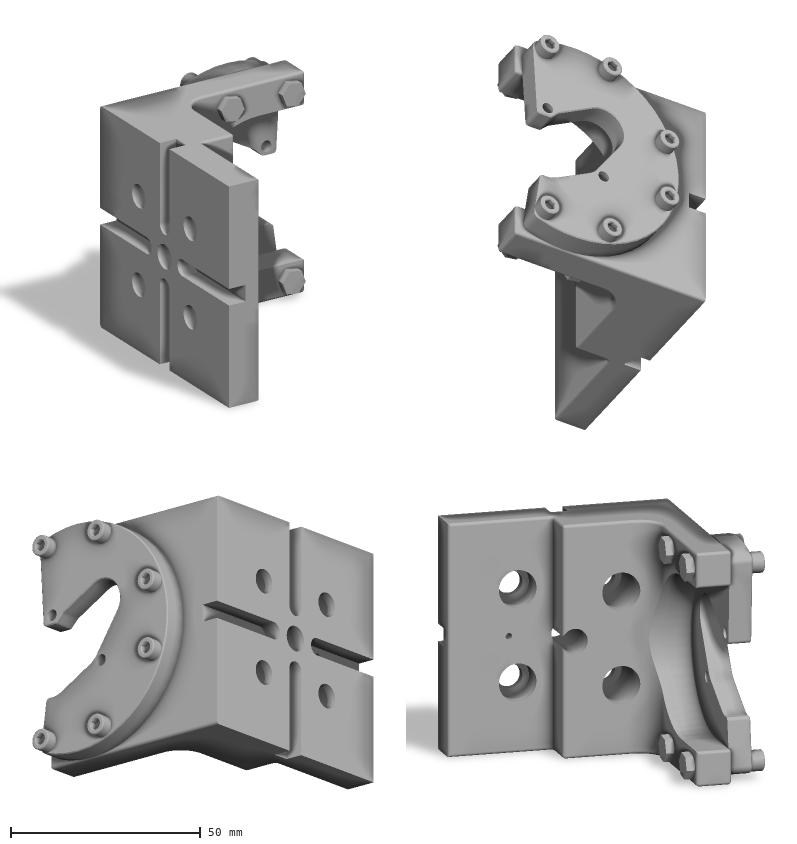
import cadquery as cq
import math

INCH = 25.4
TOLERANCE = 0.01

BASE = 2.5 * INCH
HALF = BASE / 2
DEPTH = 2.275 * INCH
WALL_THICKNESS = 0.375 * INCH
BLOCK_HEIGHT = 0.775 * INCH
LEDGE_HEIGHT = 0.375 * INCH
STEP_X = 0.125 * INCH
WALL_FILLET = 0.25 * INCH
STEP_FILLET = INCH / 32
EDGE_FILLET = INCH / 32
WALL_FACE_X = -HALF
WALL_BACK_X = WALL_FACE_X + WALL_THICKNESS
WALL_OPENING_RADIUS = HALF - WALL_THICKNESS

GROOVE_WIDTH = 0.1875 * INCH
GROOVE_DEPTH = 0.2 * INCH
GROOVE_START = 0.25 * INCH
MOUNT_PITCH = INCH
MOUNT_HOLE_DIAMETER = 6.7
MOUNT_BORE_DIAMETER = 0.406 * INCH
MOUNT_LIP = 0.1 * INCH
CENTRE_HOLE_DIAMETER = 7.0
PIN_HOLE_DIAMETER = 1.8
PIN_HOLE_X = 15.1

PLATE_Y = 43.37
PLATE_RADIUS = 31.7
PLATE_THICKNESS = 0.25 * INCH
PLATE_CHAMFER = 0.3
PLATE_OUTER_X = WALL_FACE_X - PLATE_THICKNESS
LIP_CORNER_RADIUS = 1.0
HORN_CORNER_RADIUS = 2.0

POCKET_Y = 34.7
POCKET_Z = 8.1
POCKET_RADIUS = 0.25 * INCH
CHANNEL_ANGLE = math.radians(29)
FLANK_ANGLE = math.radians(56.5)
FLANK_FILLET = 0.25 * INCH
UPPER_BEND_FILLET = 3.0
UPPER_LIP_Z = 5.55
UPPER_LIP_OUTER_Y = 54.8
UPPER_LIP_INNER_Y = 50.5
UPPER_LIP_ANGLE = math.radians(45)
LOWER_LIP_Z = -14.6
LOWER_LIP_OUTER_Y = 53.8
LOWER_LIP_INNER_Y = 50.2
UPPER_EDGE_ANGLE = math.radians(3.2)
LOWER_EDGE_ANGLE = math.radians(8)
GUIDE_HOLE_DIAMETER = 0.125 * INCH
GUIDE_HOLES = [(POCKET_Y + 17, POCKET_Z), (POCKET_Y, -POCKET_Z)]

BOLT_CIRCLE_RADIUS = 1.125 * INCH
BOLT_OFFSET = 0.375 * INCH
BOLT_REACH = math.sqrt(BOLT_CIRCLE_RADIUS**2 - BOLT_OFFSET**2)
HEAD_DIAMETER = 5.7
HEAD_HEIGHT = 0.138 * INCH
HEAD_CHAMFER = 0.25
SOCKET_FLATS = INCH * 7 / 64
SOCKET_DEPTH = 1.8
SOCKET_MOUTH_DIAMETER = 3.4
NUT_FLATS = 0.25 * INCH
NUT_HEIGHT = 2.4
NUT_TURN = -9
NUT_BEVEL = math.radians(30)

SIDES = (1, -1)
LEG_SCREWS = [(PLATE_Y + s * BOLT_OFFSET, t * BOLT_REACH) for s in SIDES for t in SIDES]
BLOCK_SCREWS = [(PLATE_Y - BOLT_REACH, t * BOLT_OFFSET) for t in SIDES]


def yz_plane(x):
    """Workplane at the given X whose local axes are Y and Z."""
    return cq.Workplane("YZ", origin=(x, 0, 0))


def nearest(x, y, z):
    return cq.selectors.NearestToPointSelector((x, y, z))


def hexagon(flats):
    """Corner circle diameter of a hexagon with the given width across flats."""
    return flats / math.cos(math.pi / 6)


def make_bracket():
    """Stepped L profile with a U-shaped opening that splits the wall into two legs."""
    body = (
        cq.Workplane("XY", origin=(0, 0, -HALF))
        .moveTo(-HALF, 0)
        .lineTo(HALF, 0)
        .lineTo(HALF, LEDGE_HEIGHT)
        .lineTo(STEP_X, LEDGE_HEIGHT)
        .lineTo(STEP_X, BLOCK_HEIGHT)
        .lineTo(WALL_BACK_X, BLOCK_HEIGHT)
        .lineTo(WALL_BACK_X, DEPTH)
        .lineTo(-HALF, DEPTH)
        .close()
        .extrude(BASE)
    )
    body = body.edges(nearest(WALL_BACK_X, BLOCK_HEIGHT, 0)).fillet(WALL_FILLET)
    body = body.edges(nearest(STEP_X, LEDGE_HEIGHT, 0)).fillet(STEP_FILLET)
    opening = (
        yz_plane(WALL_FACE_X)
        .moveTo(DEPTH, WALL_OPENING_RADIUS)
        .lineTo(PLATE_Y, WALL_OPENING_RADIUS)
        .threePointArc((PLATE_Y - WALL_OPENING_RADIUS, 0), (PLATE_Y, -WALL_OPENING_RADIUS))
        .lineTo(DEPTH, -WALL_OPENING_RADIUS)
        .close()
        .extrude(BASE)
    )
    return body.cut(opening)


def round_bracket_edges(body):
    """Round the outer edges, leaving the mounting face and the upright edges of the +X end sharp."""
    rounded = []
    for edge in body.edges().vals():
        box = edge.BoundingBox()
        middle = edge.Center()
        on_mounting_face = box.ymax < TOLERANCE
        on_side = abs(abs(middle.z) - HALF) < TOLERANCE
        on_wall_face = box.xmax < WALL_FACE_X + TOLERANCE
        on_leg_tip = box.ymin > DEPTH - TOLERANCE
        on_far_end = box.xmin > HALF - TOLERANCE
        on_step_corner = math.hypot(middle.x - STEP_X, middle.y - BLOCK_HEIGHT) < TOLERANCE
        if on_mounting_face or (on_far_end and on_side):
            continue
        if on_side or on_wall_face or on_leg_tip or on_far_end or on_step_corner:
            rounded.append(edge)
    return body.newObject(rounded).fillet(EDGE_FILLET)


def cut_grooves(body):
    """Four grooves with round inner ends, running out through the sides of the mounting face."""
    length = HALF - GROOVE_START
    groove = (
        cq.Workplane("XZ")
        .center(HALF, 0)
        .slot2D(2 * length, GROOVE_WIDTH)
        .extrude(-GROOVE_DEPTH)
    )
    for angle in (0, 90, 180, 270):
        body = body.cut(groove.rotate((0, 0, 0), (0, 1, 0), angle))
    return body


def cut_base_holes(body):
    """Counterbored mounting holes, the centre hole and the pin hole, all running along Y."""
    face = cq.Workplane("XZ")
    lip_plane = cq.Workplane("XZ", origin=(0, MOUNT_LIP, 0))
    centre_hole = face.circle(CENTRE_HOLE_DIAMETER / 2).extrude(-DEPTH)
    pin_hole = face.center(PIN_HOLE_X, 0).circle(PIN_HOLE_DIAMETER / 2).extrude(-DEPTH)
    body = body.cut(centre_hole).cut(pin_hole)
    for plane, diameter in ((face, MOUNT_HOLE_DIAMETER), (lip_plane, MOUNT_BORE_DIAMETER)):
        holes = (
            plane.rect(MOUNT_PITCH, MOUNT_PITCH, forConstruction=True)
            .vertices()
            .circle(diameter / 2)
            .extrude(-DEPTH)
        )
        body = body.cut(holes)
    return body


def crossing(p, p_angle, q, q_angle):
    """Point where the line through p at p_angle meets the line through q at q_angle."""
    across = (q[0] - p[0]) * math.sin(q_angle) - (q[1] - p[1]) * math.cos(q_angle)
    reach = across / math.sin(q_angle - p_angle)
    return (p[0] + reach * math.cos(p_angle), p[1] + reach * math.sin(p_angle))


def pocket_point(angle):
    return (POCKET_Y + POCKET_RADIUS * math.cos(angle), POCKET_Z + POCKET_RADIUS * math.sin(angle))


def horn_tip(lip_y, lip_z, edge_angle, side):
    """Point where the edge rising from a lip meets the rim of the plate."""
    direction = (math.sin(edge_angle), side * math.cos(edge_angle))
    offset = (lip_y - PLATE_Y, lip_z)
    along = offset[0] * direction[0] + offset[1] * direction[1]
    distance_squared = offset[0] ** 2 + offset[1] ** 2
    reach = math.sqrt(along**2 - distance_squared + PLATE_RADIUS**2) - along
    return (lip_y + reach * direction[0], lip_z + reach * direction[1])


def make_plate():
    """Crescent-shaped plate: a disc outline broken on its +Y side by the channel and pocket."""
    roof_normal = math.pi / 2 - CHANNEL_ANGLE
    flank_normal = -math.pi / 2 - FLANK_ANGLE
    flank_turn = flank_normal + 2 * math.pi
    roof_tangent = pocket_point(roof_normal)
    pocket_end = pocket_point((roof_normal + flank_turn) / 2)
    flank_tangent = pocket_point(flank_normal)

    upper_outer = (UPPER_LIP_OUTER_Y, UPPER_LIP_Z)
    upper_inner = (UPPER_LIP_INNER_Y, UPPER_LIP_Z)
    upper_bend = crossing(upper_inner, -UPPER_LIP_ANGLE, roof_tangent, -CHANNEL_ANGLE)
    lower_outer = (LOWER_LIP_OUTER_Y, LOWER_LIP_Z)
    lower_inner = (LOWER_LIP_INNER_Y, LOWER_LIP_Z)
    lower_bend = crossing(lower_inner, -CHANNEL_ANGLE, flank_tangent, -FLANK_ANGLE)
    upper_horn = horn_tip(*upper_outer, UPPER_EDGE_ANGLE, 1)
    lower_horn = horn_tip(*lower_outer, LOWER_EDGE_ANGLE, -1)

    plate = (
        yz_plane(PLATE_OUTER_X)
        .moveTo(*flank_tangent)
        .lineTo(*lower_bend)
        .lineTo(*lower_inner)
        .lineTo(*lower_outer)
        .lineTo(*lower_horn)
        .threePointArc((PLATE_Y - PLATE_RADIUS, 0), upper_horn)
        .lineTo(*upper_outer)
        .lineTo(*upper_inner)
        .lineTo(*upper_bend)
        .lineTo(*roof_tangent)
        .threePointArc(pocket_end, flank_tangent)
        .close()
        .extrude(PLATE_THICKNESS)
    )
    corner_radii = [
        (upper_horn, HORN_CORNER_RADIUS),
        (lower_horn, HORN_CORNER_RADIUS),
        (upper_outer, LIP_CORNER_RADIUS),
        (upper_inner, LIP_CORNER_RADIUS),
        (lower_outer, LIP_CORNER_RADIUS),
        (lower_inner, FLANK_FILLET),
        (upper_bend, UPPER_BEND_FILLET),
        (lower_bend, FLANK_FILLET),
    ]
    for (y, z), radius in corner_radii:
        middle_x = PLATE_OUTER_X + PLATE_THICKNESS / 2
        plate = plate.edges("|X").edges(nearest(middle_x, y, z)).fillet(radius)
    plate = plate.faces("<X").edges().chamfer(PLATE_CHAMFER)

    guide_holes = (
        yz_plane(PLATE_OUTER_X)
        .pushPoints(GUIDE_HOLES)
        .circle(GUIDE_HOLE_DIAMETER / 2)
        .extrude(PLATE_THICKNESS)
    )
    return plate.cut(guide_holes)


def make_screw_head():
    """Cap head standing on the plate, with a hexagon socket and a conical socket mouth."""
    top_x = PLATE_OUTER_X - HEAD_HEIGHT
    mouth_radius = SOCKET_MOUTH_DIAMETER / 2
    head = yz_plane(top_x).circle(HEAD_DIAMETER / 2).extrude(HEAD_HEIGHT)
    head = head.edges().chamfer(HEAD_CHAMFER)
    socket = (
        yz_plane(top_x)
        .transformed(rotate=(0, 0, 30))
        .polygon(6, hexagon(SOCKET_FLATS))
        .extrude(SOCKET_DEPTH)
    )
    mouth = cq.Solid.makeCone(
        mouth_radius, 0, mouth_radius, cq.Vector(top_x, 0, 0), cq.Vector(1, 0, 0)
    )
    return head.cut(socket).cut(cq.Workplane(mouth))


def make_nut():
    """Hexagon nut on the back of the wall, its corners bevelled towards the wall."""
    seat_radius = NUT_FLATS / 2
    bevel = cq.Solid.makeCone(
        seat_radius,
        seat_radius + NUT_HEIGHT / math.tan(NUT_BEVEL),
        NUT_HEIGHT,
        cq.Vector(WALL_BACK_X, 0, 0),
        cq.Vector(1, 0, 0),
    )
    return (
        yz_plane(WALL_BACK_X)
        .transformed(rotate=(0, 0, NUT_TURN))
        .polygon(6, hexagon(NUT_FLATS))
        .extrude(NUT_HEIGHT)
        .intersect(cq.Workplane(bevel))
    )


bracket = round_bracket_edges(make_bracket())
bracket = cut_base_holes(cut_grooves(bracket))
result = bracket.union(make_plate())

screw_head = make_screw_head()
nut = make_nut()
for y, z in LEG_SCREWS + BLOCK_SCREWS:
    result = result.union(screw_head.translate((0, y, z)))
for y, z in LEG_SCREWS:
    result = result.union(nut.translate((0, y, z)))